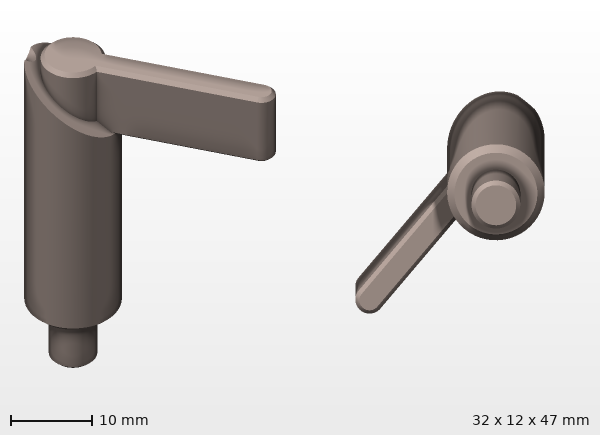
import cadquery as cq

sleeve_radius = 6.0
sleeve_chamfer = 0.9
slant_low = 29.0
slant_high = 38.0

notch_radius = 1.5
notch_floor = 37.1
notch_length = 2.0

hub_radius = 4.0
pin_radius = 3.0
pin_projection = 8.0
pin_chamfer = 0.5
lever_top = slant_high + 1.0
lever_height = lever_top - slant_low
lever_chamfer = 0.5
blade_thickness = 3.5
blade_reach = 26.0


def make_below_slant():
    """Block that holds everything under the slanted face."""
    slope = (slant_high - slant_low) / (2 * sleeve_radius)
    half_size = 2 * sleeve_radius
    middle = (slant_low + slant_high) / 2
    return (
        cq.Workplane("XZ")
        .moveTo(-half_size, 0)
        .lineTo(half_size, 0)
        .lineTo(half_size, middle - slope * half_size)
        .lineTo(-half_size, middle + slope * half_size)
        .close()
        .extrude(half_size, both=True)
    )


def make_sleeve(below_slant):
    body = (
        cq.Workplane("XY")
        .circle(sleeve_radius)
        .extrude(slant_high)
        .faces("<Z")
        .chamfer(sleeve_chamfer)
        .intersect(below_slant)
    )
    bore = cq.Workplane("XY").circle(pin_radius).extrude(slant_high)
    notch = (
        cq.Workplane("YZ", origin=(-sleeve_radius, 0, notch_floor + notch_radius))
        .circle(notch_radius)
        .extrude(notch_length)
    )
    return body.cut(bore).cut(notch)


def make_lever_head(below_slant):
    """Hub and blade, trimmed underneath so that they rest on the slanted face."""
    hub = cq.Workplane("XY", origin=(0, 0, slant_low)).circle(hub_radius).extrude(lever_height)
    blade_end_radius = blade_thickness / 2
    arc_center_x = blade_reach - blade_end_radius
    blade = (
        cq.Workplane("XY", origin=(0, 0, slant_low))
        .moveTo(0, -blade_end_radius)
        .lineTo(arc_center_x, -blade_end_radius)
        .threePointArc((blade_reach, 0), (arc_center_x, blade_end_radius))
        .lineTo(0, blade_end_radius)
        .close()
        .extrude(lever_height)
    )
    head = hub.union(blade).faces("<Z or >Z").chamfer(lever_chamfer)
    return head.cut(below_slant)


def make_plunger(below_slant):
    pin_length = pin_projection + lever_top - lever_chamfer
    pin = (
        cq.Workplane("XY", origin=(0, 0, -pin_projection))
        .circle(pin_radius)
        .extrude(pin_length)
        .faces("<Z")
        .chamfer(pin_chamfer)
    )
    return make_lever_head(below_slant).union(pin)


below_slant = make_below_slant()
sleeve = make_sleeve(below_slant)
plunger = make_plunger(below_slant)

result = cq.Compound.makeCompound([sleeve.val(), plunger.val()])